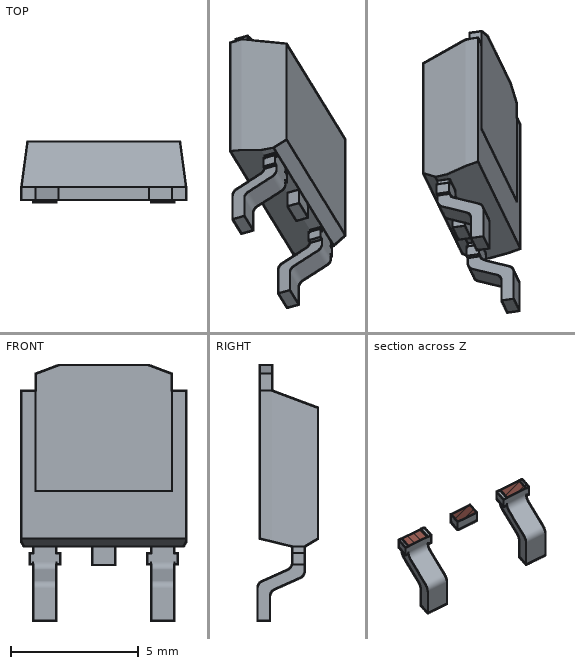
import cadquery as cq
import math


HOUSING_WIDTH = 6.45
BACK_WIDTH = 5.97
HOUSING_DEPTH = 2.29
HOUSING_TOP = 9.0
BACK_TOP = 8.33
HOUSING_BOTTOM = 2.9
BEVEL_TOP = 3.21

TAB_WIDTH = 5.33
TAB_FLAT_WIDTH = 3.52
TAB_THICKNESS = 0.5
TAB_BOTTOM = 5.07
TAB_TOP = 10.0
TAB_CORNER_HEIGHT = 0.34

METAL_THICKNESS = 0.5
LEAD_WIDTH = 0.91
LEAD_OFFSET = 2.31
LEAD_ROOT_FRONT = 1.27
LEAD_FOOT_FRONT = -0.09
UPPER_BEND = 2.08
LOWER_BEND = 1.47
BEND_RADIUS = 0.31
WING_TOP = 2.65
WING_BOTTOM = 2.21
OUTER_WING = 0.13
INNER_WING = 0.16
STUB_BOTTOM = 2.18

LEAD_ROOT_BACK = LEAD_ROOT_FRONT + METAL_THICKNESS
LEAD_FOOT_BACK = LEAD_FOOT_FRONT + METAL_THICKNESS


def box(x_min, x_max, y_min, y_max, z_min, z_max):
    """Box between two opposite corners."""
    return cq.Workplane("XY").box(
        x_max - x_min, y_max - y_min, z_max - z_min, centered=False
    ).translate((x_min, y_min, z_min))


def make_tab():
    """Metal plate flush with the housing front, with sloped upper corners."""
    half = TAB_WIDTH / 2
    half_flat = TAB_FLAT_WIDTH / 2
    shoulder = TAB_TOP - TAB_CORNER_HEIGHT
    outline = [
        (-half, TAB_BOTTOM), (half, TAB_BOTTOM), (half, shoulder),
        (half_flat, TAB_TOP), (-half_flat, TAB_TOP), (-half, shoulder),
    ]
    return cq.Workplane("XZ").polyline(outline).close().extrude(-TAB_THICKNESS)


def make_housing(tab):
    """Side profile trimmed by the tapered plan outline, with a recess for the tab."""
    side = [
        (0, BEVEL_TOP), (0, HOUSING_TOP), (TAB_THICKNESS, HOUSING_TOP),
        (HOUSING_DEPTH, BACK_TOP), (HOUSING_DEPTH, BEVEL_TOP),
        (LEAD_ROOT_BACK, HOUSING_BOTTOM), (LEAD_ROOT_FRONT, HOUSING_BOTTOM),
    ]
    half = HOUSING_WIDTH / 2
    half_back = BACK_WIDTH / 2
    plan = [
        (-half, 0), (half, 0), (half, TAB_THICKNESS),
        (half_back, HOUSING_DEPTH), (-half_back, HOUSING_DEPTH), (-half, TAB_THICKNESS),
    ]
    body = cq.Workplane("YZ").polyline(side).close().extrude(half, both=True)
    taper = cq.Workplane("XY").polyline(plan).close().extrude(HOUSING_TOP)
    return body.intersect(taper).cut(tab)


def make_lead(side):
    """S-bent lead with wings; side is -1 for the left lead and 1 for the right."""
    turn = math.atan2(LEAD_ROOT_FRONT - LEAD_FOOT_FRONT, UPPER_BEND - LOWER_BEND)
    corner_drop = METAL_THICKNESS * math.tan(turn / 2)
    profile = [
        (LEAD_ROOT_FRONT, HOUSING_BOTTOM), (LEAD_ROOT_FRONT, UPPER_BEND),
        (LEAD_FOOT_FRONT, LOWER_BEND), (LEAD_FOOT_FRONT, 0),
        (LEAD_FOOT_BACK, 0), (LEAD_FOOT_BACK, LOWER_BEND - corner_drop),
        (LEAD_ROOT_BACK, UPPER_BEND - corner_drop), (LEAD_ROOT_BACK, HOUSING_BOTTOM),
    ]
    strip = cq.Workplane("YZ").polyline(profile).close().extrude(LEAD_WIDTH / 2, both=True)
    bends = cq.selectors.BoxSelector(
        (-LEAD_WIDTH, LEAD_FOOT_FRONT - 0.1, LOWER_BEND - corner_drop - 0.1),
        (LEAD_WIDTH, LEAD_ROOT_BACK + 0.1, UPPER_BEND + 0.1),
    )
    strip = strip.edges("|X").edges(bends).fillet(BEND_RADIUS)

    inner_edge = -side * (LEAD_WIDTH / 2 + INNER_WING)
    outer_edge = side * (LEAD_WIDTH / 2 + OUTER_WING)
    wings = box(
        min(inner_edge, outer_edge), max(inner_edge, outer_edge),
        LEAD_ROOT_FRONT, LEAD_ROOT_BACK, WING_BOTTOM, WING_TOP,
    )
    return strip.union(wings).translate((side * LEAD_OFFSET, 0, 0))


def make_stub():
    """Short cut-off centre lead."""
    return box(
        -LEAD_WIDTH / 2, LEAD_WIDTH / 2,
        LEAD_ROOT_FRONT, LEAD_ROOT_BACK, STUB_BOTTOM, HOUSING_BOTTOM,
    )


tab = make_tab()
housing = make_housing(tab)
leads = [make_lead(side) for side in (-1, 1)]
stub = make_stub()

result = cq.Compound.makeCompound([
    housing.solids().val(),
    tab.val(),
    stub.val(),
    *[lead.solids().val() for lead in leads],
])